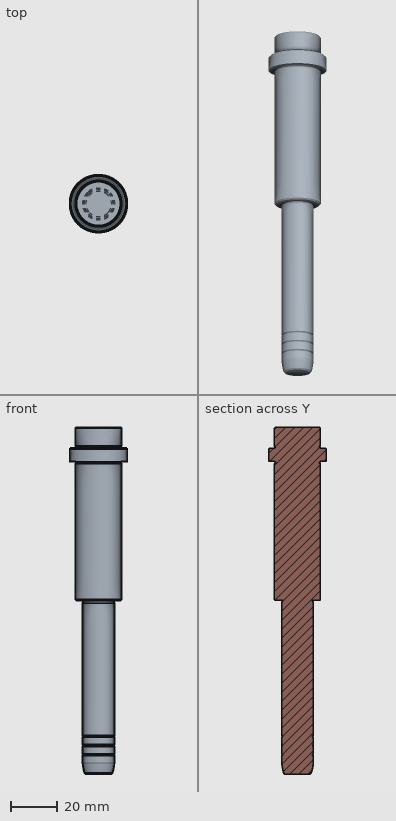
import cadquery as cq

length = 150.0
flange_diameter = 25.0
body_diameter = 20.1
shank_diameter = 14.0
tip_diameter = 12.2

flange_top = 9.0
flange_bottom = 15.0
body_bottom = 75.0
nose_start = 144.9

edge_chamfer = 0.6
shank_chamfer_height = 1.0
shank_chamfer_depth = 0.5
tip_chamfer = 0.6

first_groove_top = 133.0
groove_pitch = 4.0
groove_width = 0.9
groove_depth = 0.5
groove_count = 3

nose_bulge = 0.2

top = length / 2
bottom = -length / 2


def cylinder(diameter, upper, lower):
    """Cylinder between two distances below the top face."""
    return (
        cq.Workplane("XY")
        .workplane(offset=top - lower)
        .circle(diameter / 2)
        .extrude(lower - upper)
    )


def make_head():
    return cylinder(body_diameter, 0, flange_top).faces(">Z").chamfer(edge_chamfer)


def make_flange():
    return cylinder(flange_diameter, flange_top, flange_bottom).faces(">Z").chamfer(edge_chamfer)


def make_body():
    return cylinder(body_diameter, flange_bottom, body_bottom).faces("<Z").chamfer(edge_chamfer)


def make_shank():
    shank = cylinder(shank_diameter, body_bottom, nose_start)
    return shank.faces(">Z").chamfer(shank_chamfer_height, shank_chamfer_depth)


def make_nose():
    """Slightly bowed nose, narrowing from the shank to a chamfered tip."""
    shank_radius = shank_diameter / 2
    tip_radius = tip_diameter / 2
    upper = top - nose_start
    lower = bottom + tip_chamfer
    middle = ((shank_radius + tip_radius) / 2 + nose_bulge, (upper + lower) / 2)
    return (
        cq.Workplane("XZ")
        .moveTo(0, upper)
        .lineTo(shank_radius, upper)
        .threePointArc(middle, (tip_radius, lower))
        .lineTo(tip_radius - tip_chamfer, bottom)
        .lineTo(0, bottom)
        .close()
        .revolve(360, (0, 0, 0), (0, 1, 0))
    )


def make_groove(diameter, upper):
    """V-shaped ring to be removed from a cylinder of the given diameter."""
    outer_radius = diameter / 2
    middle = upper + groove_width / 2
    lower = upper + groove_width
    return (
        cq.Workplane("XZ")
        .moveTo(outer_radius, top - upper)
        .lineTo(outer_radius - groove_depth, top - middle)
        .lineTo(outer_radius, top - lower)
        .close()
        .revolve(360, (0, 0, 0), (0, 1, 0))
    )


result = make_head()
for section in (make_flange(), make_body(), make_shank(), make_nose()):
    result = result.union(section)

for groove_top in (flange_top - groove_width, flange_bottom):
    result = result.cut(make_groove(body_diameter, groove_top))

for index in range(groove_count):
    result = result.cut(make_groove(shank_diameter, first_groove_top + index * groove_pitch))